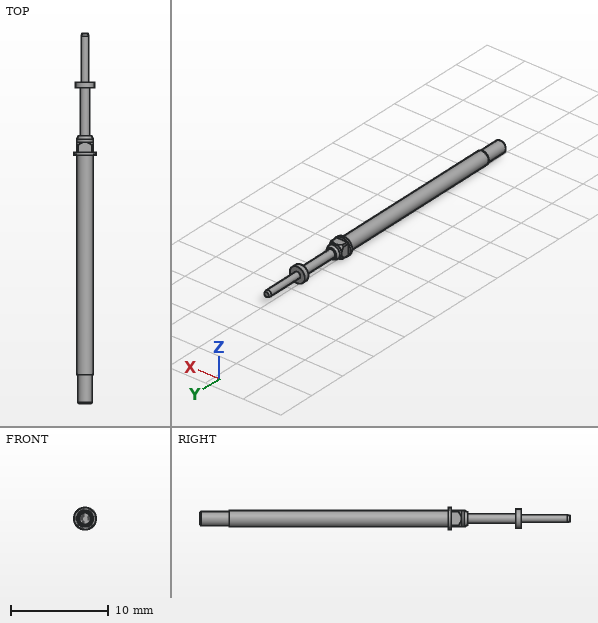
import cadquery as cq

LENGTH = 38.0
TIP_Y = LENGTH / 2
REAR_Y = -LENGTH / 2

PIN_DIAMETER = 0.8
PIN_TIP_DIAMETER = 0.6
PIN_TIP_LENGTH = 0.3
PIN_LENGTH = 5.0
COLLAR_DIAMETER = 2.0
COLLAR_LENGTH = 0.6
STEM_DIAMETER = 1.0
STEM_LENGTH = 4.9

NOSE_DIAMETER = 1.35
NOSE_LENGTH = 0.35
NECK_LENGTH = 0.3
SQUARE_WIDTH = 1.7
SQUARE_CORNER_DIAMETER = 2.2
SQUARE_TAPER_LENGTH = 0.3
SQUARE_LENGTH = 1.05

FLANGE_DIAMETER = 2.3
FLANGE_LENGTH = 0.3
BARREL_DIAMETER = 1.7
REAR_DIAMETER = 1.5
REAR_LENGTH = 3.0
REAR_CHAMFER = 0.15

COLLAR_Y = TIP_Y - PIN_LENGTH
STEM_Y = COLLAR_Y - COLLAR_LENGTH
NOSE_Y = STEM_Y - STEM_LENGTH
NECK_Y = NOSE_Y - NOSE_LENGTH
SQUARE_Y = NECK_Y - NECK_LENGTH
FLANGE_Y = SQUARE_Y - SQUARE_LENGTH
BARREL_Y = FLANGE_Y - FLANGE_LENGTH
REAR_STEP_Y = REAR_Y + REAR_LENGTH


def turned(front_y, length, diameter, front_diameter=None, taper_length=0.0):
    """Round section running from front_y towards the rear, optionally with a tapered front."""
    radius = diameter / 2
    section = cq.Workplane("XY").moveTo(0, front_y)
    if front_diameter is None:
        section = section.lineTo(radius, front_y)
    else:
        section = section.lineTo(front_diameter / 2, front_y).lineTo(radius, front_y - taper_length)
    section = section.lineTo(radius, front_y - length).lineTo(0, front_y - length).close()
    return section.revolve(360, (0, 0, 0), (0, 1, 0))


def make_plunger():
    pin = turned(TIP_Y, PIN_LENGTH, PIN_DIAMETER, PIN_TIP_DIAMETER, PIN_TIP_LENGTH)
    collar = turned(COLLAR_Y, COLLAR_LENGTH, COLLAR_DIAMETER)
    stem = turned(STEM_Y, STEM_LENGTH, STEM_DIAMETER)
    return pin.union(collar).union(stem)


def make_head():
    neck = turned(NOSE_Y, NOSE_LENGTH + NECK_LENGTH, SQUARE_WIDTH, NOSE_DIAMETER, NOSE_LENGTH)
    corners = turned(
        SQUARE_Y, SQUARE_LENGTH, SQUARE_CORNER_DIAMETER, SQUARE_WIDTH, SQUARE_TAPER_LENGTH
    )
    square_centre = (0, SQUARE_Y - SQUARE_LENGTH / 2, 0)
    square = cq.Workplane("XY").box(SQUARE_WIDTH, SQUARE_LENGTH, SQUARE_WIDTH).translate(square_centre)
    return neck.union(corners.intersect(square))


def make_barrel():
    flange = turned(FLANGE_Y, FLANGE_LENGTH, FLANGE_DIAMETER)
    tube = turned(BARREL_Y, BARREL_Y - REAR_STEP_Y, BARREL_DIAMETER)
    rear = turned(REAR_STEP_Y, REAR_LENGTH, REAR_DIAMETER).faces("<Y").chamfer(REAR_CHAMFER)
    return flange.union(tube).union(rear)


result = make_plunger().union(make_head()).union(make_barrel())